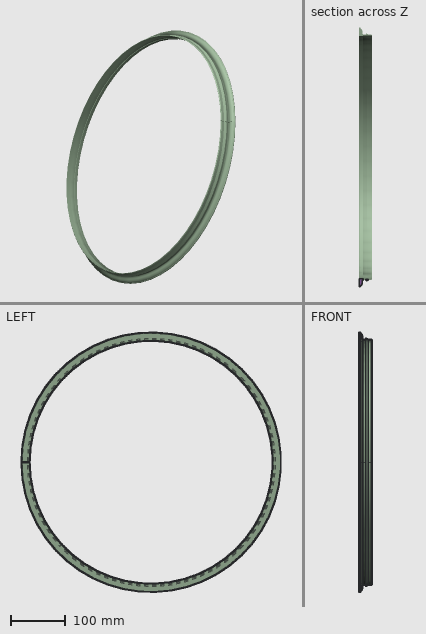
import cadquery as cq

ring_width = 24.0
flange_radius = 237.5

rim_width = 2.9
rim_edge_radius = 236.2
shoulder_x = 6.8
shoulder_radius = 228.5

neck_radius = 224.6
root_fillet = 1.1
barb_start = 12.7
barb_end = 17.0
barb_height = 2.2
tip_chamfer = 1.2

bore_radius = 221.5
bore_chamfer = 0.8
lip_width = 7.0
recess_radius = 222.7
taper_end = 14.5
end_bore_radius = 223.0

split_gap = 0.6


def make_ring():
    """Half section in the XY plane, revolved about the X axis."""
    bend_run = shoulder_x - rim_width
    bend_drop = rim_edge_radius - shoulder_radius
    bend_radius = (bend_run**2 + bend_drop**2) / (2 * bend_run)

    section = (
        cq.Workplane("XY")
        .moveTo(0, bore_radius + bore_chamfer)
        .lineTo(0, rim_edge_radius)
        .threePointArc((rim_width / 2, flange_radius), (rim_width, rim_edge_radius))
        .radiusArc((shoulder_x, shoulder_radius), bend_radius)
        .lineTo(shoulder_x, neck_radius + root_fillet)
        .radiusArc((shoulder_x + root_fillet, neck_radius), -root_fillet)
        .lineTo(barb_start, neck_radius)
        .lineTo(barb_start, neck_radius + barb_height)
        .lineTo(barb_end, neck_radius)
        .lineTo(ring_width - tip_chamfer, neck_radius)
        .lineTo(ring_width, neck_radius - tip_chamfer)
        .lineTo(ring_width, end_bore_radius)
        .lineTo(taper_end, end_bore_radius)
        .lineTo(lip_width, recess_radius)
        .lineTo(lip_width, bore_radius)
        .lineTo(bore_chamfer, bore_radius)
        .close()
    )
    return section.revolve(360, (0, 0, 0), (1, 0, 0))


def make_split():
    """Thin slab through the ring wall at +Y, centred on Z = 0."""
    return cq.Workplane("XY").box(
        ring_width, flange_radius, split_gap, centered=(False, False, True)
    )


result = make_ring().cut(make_split())